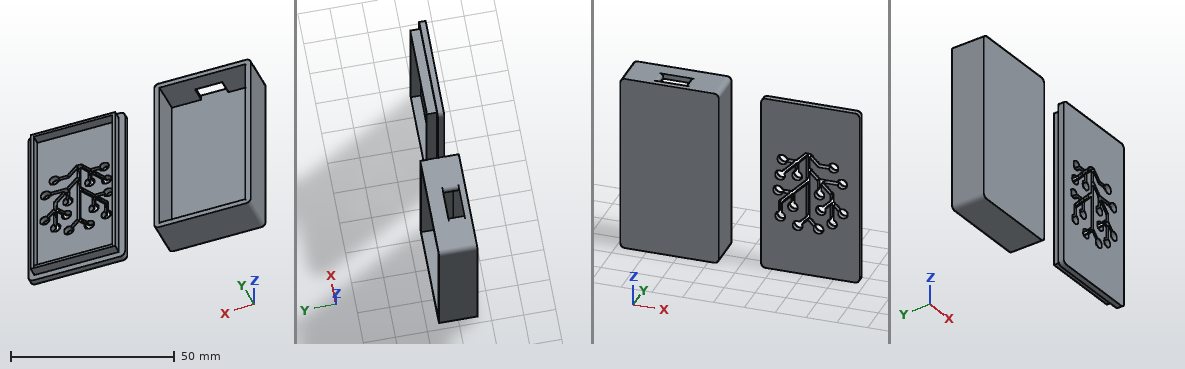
import cadquery as cq
import math


overall_width = 77.0
plate_width = 32.0
plate_height = 59.0
corner_radius = 1.6
wall = 1.8

case_depth = 12.0
floor = 2.0
case_x = (plate_width - overall_width) / 2
port_width = 9.0
port_depth = 5.0
port_rounding = 1.0

lid_x = (overall_width - plate_width) / 2
lid_front_y = floor
lid_thickness = 2.0
lip_length = 3.1
lip_clearance = 0.2
lip_thickness = 1.0

pad_diameter = 3.15
track_width = 1.1
trunk_x = -0.8
crown_z = 12.8
right_branch_z = 7.7
left_branch_z = 3.2
trunk_foot_z = -9.55

LEFT = (-1, 0)
RIGHT = (1, 0)
DOWN = (0, -1)
DOWN_LEFT = (-1, -1)
DOWN_RIGHT = (1, -1)


def upright_block(width, height, depth, x, front_y):
    """Block centred on (x, z = 0) that reaches from front_y towards +Y."""
    block = cq.Workplane("XY").box(width, depth, height, centered=(True, False, True))
    return block.translate((x, front_y, 0))


def rounded_plate(depth, x, front_y):
    block = upright_block(plate_width, plate_height, depth, x, front_y)
    return block.edges("|Y").fillet(corner_radius)


def make_case():
    shell = rounded_plate(case_depth, case_x, 0)
    cavity = upright_block(
        plate_width - 2 * wall, plate_height - 2 * wall, case_depth - floor, case_x, floor
    )
    return shell.cut(cavity).cut(port_cutter())


def port_cutter():
    """Slot through the top wall whose two short sides flare out with a rounded edge."""
    top_z = plate_height / 2
    inner_x = port_width / 2
    outer_x = inner_x + port_rounding
    arc_z = top_z - port_rounding
    bend = port_rounding * (1 - math.sqrt(0.5))
    profile = (
        cq.Workplane("XZ", origin=(case_x, floor, 0))
        .moveTo(-inner_x, top_z - wall)
        .lineTo(inner_x, top_z - wall)
        .lineTo(inner_x, arc_z)
        .threePointArc((inner_x + bend, top_z - bend), (outer_x, top_z))
        .lineTo(-outer_x, top_z)
        .threePointArc((-inner_x - bend, top_z - bend), (-inner_x, arc_z))
        .close()
    )
    return profile.extrude(-port_depth)


def make_lip():
    inset = wall + lip_clearance
    width = plate_width - 2 * inset
    height = plate_height - 2 * inset
    back_y = lid_front_y + lid_thickness
    outer = upright_block(width, height, lip_length, lid_x, back_y)
    opening = upright_block(
        width - 2 * lip_thickness, height - 2 * lip_thickness, lip_length, lid_x, back_y
    )
    return outer.cut(opening)


def step(start, direction, length):
    return (start[0] + direction[0] * length, start[1] + direction[1] * length)


def tree_layout():
    """Return the tracks, as pairs of end points, and the centres of the round pads."""
    tracks = []
    pads = []

    def track(start, direction, length):
        end = step(start, direction, length)
        tracks.append((start, end))
        return end

    def leaf(start, direction, length):
        pads.append(track(start, direction, length))

    crown = (trunk_x, crown_z)
    foot = track(crown, DOWN, crown_z - trunk_foot_z)
    leaf(foot, DOWN_LEFT, 3.4)
    leaf(foot, DOWN_RIGHT, 3.4)

    fork = track(crown, DOWN_LEFT, 3.55)
    leaf(fork, LEFT, 4.8)
    leaf(fork, DOWN, 4.8)
    leaf(fork, DOWN_LEFT, 5.55)

    bend = track(crown, DOWN_RIGHT, 3.6)
    leaf(bend, RIGHT, 4.6)

    fork = track((trunk_x, left_branch_z), DOWN_LEFT, 4.9)
    leaf(fork, LEFT, 4.8)
    leaf(fork, DOWN, 4.9)
    bend = track(fork, DOWN_LEFT, 4.1)
    leaf(bend, DOWN, 4.85)

    fork = track((trunk_x, right_branch_z), DOWN_RIGHT, 3.7)
    leaf(fork, RIGHT, 7.4)
    leaf(fork, DOWN, 5.0)
    bend = track(fork, DOWN_RIGHT, 4.1)
    fork = track(bend, DOWN, 2.6)
    leaf(fork, DOWN_LEFT, 3.6)
    leaf(fork, DOWN_RIGHT, 3.55)
    leaf(fork, DOWN, 7.7)
    return tracks, pads


def track_cutter(plane, start, end):
    """Round-ended slot along one track."""
    run = end[0] - start[0]
    rise = end[1] - start[1]
    length = math.hypot(run, rise) + track_width
    angle = math.degrees(math.atan2(rise, run))
    middle = plane.center(start[0] + run / 2, start[1] + rise / 2)
    outline = middle.slot2D(length, track_width, angle)
    return outline.extrude(-lid_thickness)


def tree_cutter():
    tracks, pads = tree_layout()
    plane = cq.Workplane("XZ", origin=(lid_x, lid_front_y, 0))
    cutter = plane.pushPoints(pads).circle(pad_diameter / 2).extrude(-lid_thickness)
    for start, end in tracks:
        cutter = cutter.union(track_cutter(plane, start, end))
    above_crown = (
        plane.center(trunk_x, crown_z + track_width / 2)
        .rect(4 * track_width, track_width)
        .extrude(-lid_thickness)
    )
    return cutter.cut(above_crown)


def make_lid():
    plate = rounded_plate(lid_thickness, lid_x, lid_front_y)
    return plate.cut(tree_cutter()).union(make_lip())


case = make_case()
lid = make_lid()
result = cq.Compound.makeCompound([case.val(), lid.val()])